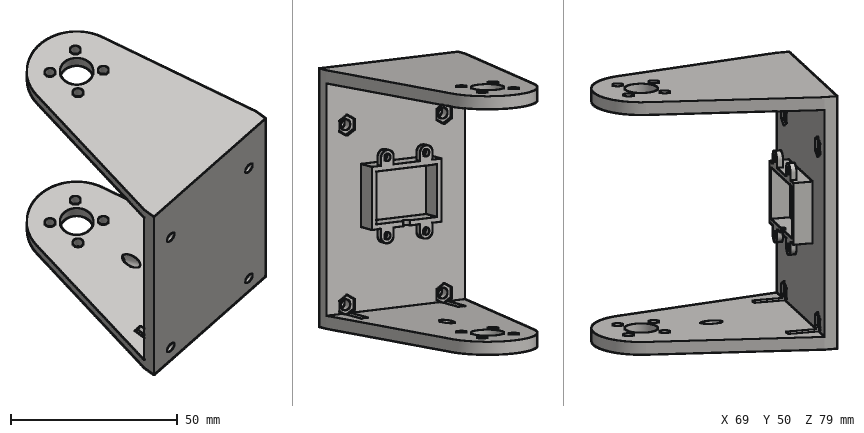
import cadquery as cq
import math

length = 69.0
width = 50.0
height = 79.0
arm_thickness = 4.0
plate_thickness = 3.95
plate_face = length - plate_thickness

tip_radius = 15.0
center_hole_diameter = 10.0
arm_screw_diameter = 3.2
arm_screw_circle = 16.0
arm_screw_count = 4
arm_screw_start_angle = 45.0

nut_flats = 5.5
nut_depth = 0.8
nut_clearance = 9.5
mount_diameter = 3.3
mount_spacing_y = 35.0
mount_spacing_z = 55.0
mount_low_z = 6.5

box_width = 25.05
box_height = 19.3
box_depth = 6.0
box_wall = 1.6
box_z = height / 2
box_front = plate_face - box_depth
tab_thickness = 1.9
tab_radius = 2.3
tab_hole_diameter = 2.2
tab_spacing_y = 14.0
tab_spacing_z = 23.9
cable_notch_radius = 1.2

access_diameter = 3.5
access_x = 37.1
access_angle = 32.0
access_reach = 11.85


def rectangle_corners(spacing_y, spacing_z, center_z):
    """Four (y, z) positions at the corners of a rectangle."""
    return [
        (y, center_z + z)
        for y in (-spacing_y / 2, spacing_y / 2)
        for z in (-spacing_z / 2, spacing_z / 2)
    ]


def plane_at(x):
    """Plane normal to X whose local axes are Y and Z."""
    return cq.Workplane("YZ", origin=(x, 0, 0))


def make_arm(bottom_z):
    """Arm whose sides run from the plate corners tangent to the round tip."""
    half_width = width / 2
    run = plate_face - tip_radius
    corner_distance = math.hypot(run, half_width)
    taper = math.atan2(half_width, run) - math.asin(tip_radius / corner_distance)
    tangent_x = tip_radius * (1 - math.sin(taper))
    tangent_y = tip_radius * math.cos(taper)
    arm = (
        cq.Workplane("XY", origin=(0, 0, bottom_z))
        .moveTo(plate_face, -half_width)
        .lineTo(tangent_x, -tangent_y)
        .threePointArc((0, 0), (tangent_x, tangent_y))
        .lineTo(plate_face, half_width)
        .close()
        .extrude(arm_thickness)
    )
    tip_face = arm.faces(">Z").workplane(origin=(tip_radius, 0, 0))
    center_hole = tip_face.circle(center_hole_diameter / 2).extrude(-arm_thickness, combine=False)
    screw_holes = (
        tip_face.polarArray(arm_screw_circle / 2, arm_screw_start_angle, 360, arm_screw_count)
        .circle(arm_screw_diameter / 2)
        .extrude(-arm_thickness, combine=False)
    )
    return arm.cut(center_hole).cut(screw_holes)


def make_plate():
    return plane_at(plate_face).center(0, height / 2).rect(width, height).extrude(plate_thickness)


def make_box():
    """Box with two tabs above and two below, open toward the arm tips."""
    box = plane_at(box_front).center(0, box_z).rect(box_width, box_height).extrude(box_depth)
    tab_points = rectangle_corners(tab_spacing_y, tab_spacing_z, box_z)
    tab_bars = (
        plane_at(box_front)
        .pushPoints([(-tab_spacing_y / 2, box_z), (tab_spacing_y / 2, box_z)])
        .slot2D(tab_spacing_z + 2 * tab_radius, 2 * tab_radius, 90)
        .extrude(tab_thickness)
    )
    tab_holes = (
        plane_at(box_front)
        .pushPoints(tab_points)
        .circle(tab_hole_diameter / 2)
        .extrude(tab_thickness)
    )
    opening = (
        plane_at(box_front)
        .center(0, box_z)
        .rect(box_width - 2 * box_wall, box_height - 2 * box_wall)
        .extrude(box_depth)
    )
    cable_notch = (
        cq.Workplane("XY", origin=(box_front, 0, box_z - box_height / 2))
        .circle(cable_notch_radius)
        .extrude(box_wall)
    )
    return box.union(tab_bars).cut(tab_holes).cut(opening).cut(cable_notch)


def make_mount_cutters():
    """Through holes and nut pockets; the low pockets also groove the lower arm."""
    points = rectangle_corners(mount_spacing_y, mount_spacing_z, mount_low_z + mount_spacing_z / 2)
    nut_corners = nut_flats / math.cos(math.pi / 6)
    holes = plane_at(plate_face).pushPoints(points).circle(mount_diameter / 2).extrude(plate_thickness)
    nut_profile = cq.Sketch().regularPolygon(nut_corners / 2, 6)
    nuts = (
        plane_at(plate_face - nut_clearance)
        .pushPoints(points)
        .placeSketch(nut_profile)
        .extrude(nut_clearance + nut_depth)
    )
    return holes.union(nuts)


def make_access_cutter():
    """Round hole through the lower arm, sloping down toward the tip."""
    slope = math.radians(access_angle)
    axis = cq.Vector(math.cos(slope), 0, math.sin(slope))
    mouth = cq.Vector(access_x, 0, arm_thickness)
    start = mouth - axis * access_reach
    return cq.Workplane(cq.Solid.makeCylinder(access_diameter / 2, 2 * access_reach, start, axis))


result = (
    make_plate()
    .union(make_arm(0))
    .union(make_arm(height - arm_thickness))
    .union(make_box())
    .cut(make_mount_cutters())
    .cut(make_access_cutter())
)